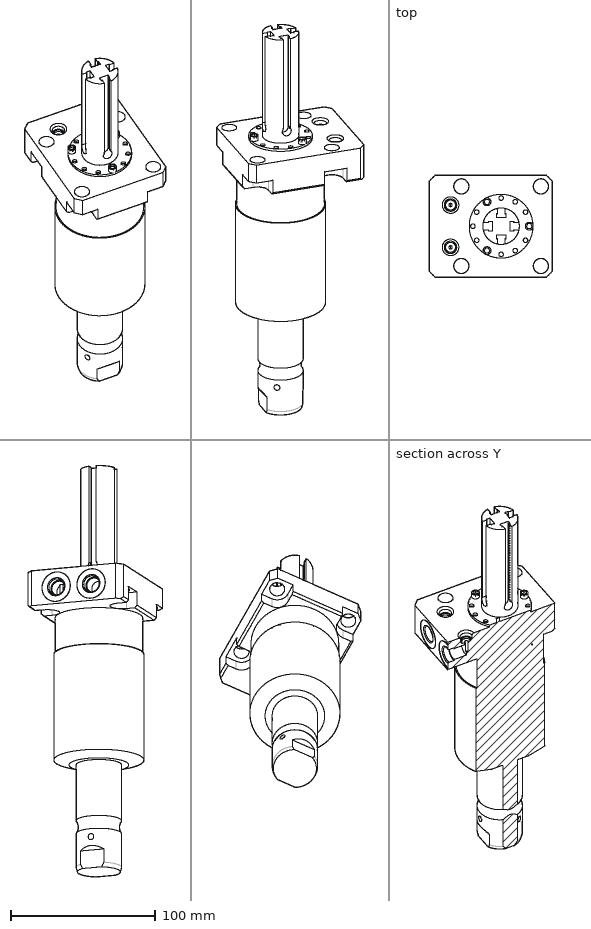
import cadquery as cq
import math


FLANGE_LEFT = -50.0
FLANGE_LENGTH = 85.5
FLANGE_WIDTH = 71.0
FLANGE_THICKNESS = 25.0
FLANGE_CORNER = 4.3
FLANGE_BOTTOM_CHAMFER = 1.7
FLANGE_RIGHT = FLANGE_LEFT + FLANGE_LENGTH

MOUNT_OFFSET = 27.5
MOUNT_DIAMETER = 10.3
RECESS_RADIUS = 8.3
RECESS_TOP = -13.8

PORT_Y = 13.0
PORT_Z = -13.0
PORT_SPOTFACE_DIAMETER = 21.0
PORT_SPOTFACE_DEPTH = 0.3
PORT_MOUTH_RADIUS = 6.45
PORT_STEP_RADIUS = 5.7
PORT_STEP_DEPTH = 5.2
PORT_BORE_RADIUS = 5.02
PILOT_X = -35.0
PILOT_Y = 14.5
PILOT_MOUTH_RADIUS = 5.7
PILOT_STEP_RADIUS = 4.3
PILOT_STEP_DEPTH = 4.3
PILOT_BORE_RADIUS = 3.5
PILOT_BORE_DEPTH = 5.7
PILOT_HOLE_DIAMETER = 2.3
PILOT_HOLE_DEPTH = 15.2

COVER_RADIUS = 22.0
COVER_HEIGHT = 1.7
COVER_HOLE_COUNT = 12
COVER_HOLE_CIRCLE = 19.5
COVER_HOLE_DIAMETER = 3.2
SCREW_COUNT = 3
SCREW_HEAD_DIAMETER = 5.5
SCREW_HEAD_HEIGHT = 3.5
SOCKET_ACROSS_FLATS = 3.5
SOCKET_DEPTH = 1.7

SHAFT_RADIUS = 12.5
SHAFT_TOP = 81.0
SLOT_COUNT = 4
SLOT_MOUTH_WIDTH = 5.2
SLOT_UNDERCUT_WIDTH = 6.5
SLOT_FLOOR = 6.0
SLOT_LIP = 8.5
SLOT_END_Z = 10.3

NECK_RADIUS = 30.5
BODY_RADIUS = 31.3
BODY_TOP = -50.8
BODY_BOTTOM = -126.3
BODY_CONE_RADIUS = 20.7
BODY_CONE_HEIGHT = 3.5
ROD_RADIUS = 15.8
GROOVE_TOP = -169.7
GROOVE_BOTTOM = -179.0
GROOVE_DEPTH = 1.5
OVERALL_HEIGHT = 287.0
ROD_END = SHAFT_TOP - OVERALL_HEIGHT
ROD_CHAMFER_RADIAL = 1.0
ROD_CHAMFER_HEIGHT = 3.2
FLAT_DISTANCE = 13.2
FLAT_TOP = -193.5
DIMPLE_COUNT = 3
DIMPLE_RADIUS = 2.15
DIMPLE_Z = -184.5


def cylinder(radius, bottom, height):
    return cq.Workplane("XY").workplane(offset=bottom).circle(radius).extrude(height)


def box(x_range, y_range, z_range):
    """Box spanning the given (low, high) range along each axis."""
    ranges = (x_range, y_range, z_range)
    sizes = [high - low for low, high in ranges]
    corner = tuple(low for low, high in ranges)
    return cq.Workplane("XY").box(*sizes, centered=False).translate(corner)


def cone(base_radius, tip_radius, base, direction):
    """Cone or frustum with 45 degree sides, narrowing from base along direction."""
    height = base_radius - tip_radius
    solid = cq.Solid.makeCone(base_radius, tip_radius, height, cq.Vector(*base), cq.Vector(*direction))
    return cq.Workplane(obj=solid)


def make_flange():
    z_range = (-FLANGE_THICKNESS, 0)
    half_width = FLANGE_WIDTH / 2
    flange = box((FLANGE_LEFT, FLANGE_RIGHT), (-half_width, half_width), z_range)
    flange = flange.faces("<Z").edges(">X or >Y or <Y").chamfer(FLANGE_BOTTOM_CHAMFER)
    outline = box((FLANGE_LEFT, FLANGE_RIGHT), (-half_width, half_width), z_range)
    return flange.intersect(outline.edges("|Z").chamfer(FLANGE_CORNER))


def make_recess(x, side):
    """Screw-head recess open to one long side, and past the right-hand holes to the end face."""
    height = RECESS_TOP + FLANGE_THICKNESS
    y = side * MOUNT_OFFSET
    z_range = (-FLANGE_THICKNESS, RECESS_TOP)
    recess = cylinder(RECESS_RADIUS, -FLANGE_THICKNESS, height).translate((x, y, 0))
    y_range = sorted((y, side * FLANGE_WIDTH / 2))
    recess = recess.union(box((x - RECESS_RADIUS, x + RECESS_RADIUS), y_range, z_range))
    if x > 0:
        y_range = sorted((y - side * RECESS_RADIUS, side * FLANGE_WIDTH / 2))
        recess = recess.union(box((x, FLANGE_RIGHT), y_range, z_range))
    return recess


def make_air_port(side):
    """Countersunk, stepped port bored in from the left face until it meets the pilot hole."""
    y = side * PORT_Y
    left_face = cq.Workplane("YZ", origin=(FLANGE_LEFT, y, PORT_Z))
    spotface = left_face.circle(PORT_SPOTFACE_DIAMETER / 2).extrude(PORT_SPOTFACE_DEPTH)
    step = left_face.circle(PORT_STEP_RADIUS).extrude(PORT_STEP_DEPTH)
    bore = left_face.circle(PORT_BORE_RADIUS).extrude(PILOT_X - FLANGE_LEFT)
    mouth_base = (FLANGE_LEFT + PORT_SPOTFACE_DEPTH, y, PORT_Z)
    mouth = cone(PORT_MOUTH_RADIUS, PORT_STEP_RADIUS, mouth_base, (1, 0, 0))
    return spotface.union(step).union(bore).union(mouth)


def make_pilot_port(side):
    """Countersunk, stepped port in the top face with a narrow hole down into the air port."""
    y = side * PILOT_Y
    mouth = cone(PILOT_MOUTH_RADIUS, PILOT_STEP_RADIUS, (PILOT_X, y, 0), (0, 0, -1))
    step = cylinder(PILOT_STEP_RADIUS, -PILOT_STEP_DEPTH, PILOT_STEP_DEPTH)
    bore = cylinder(PILOT_BORE_RADIUS, -PILOT_BORE_DEPTH, PILOT_BORE_DEPTH)
    hole = cylinder(PILOT_HOLE_DIAMETER / 2, -PILOT_HOLE_DEPTH, PILOT_HOLE_DEPTH)
    return step.union(bore).union(hole).translate((PILOT_X, y, 0)).union(mouth)


def make_cover():
    holes = (
        cq.Workplane("XY")
        .polarArray(COVER_HOLE_CIRCLE, 0, 360, COVER_HOLE_COUNT)
        .circle(COVER_HOLE_DIAMETER / 2)
        .extrude(COVER_HEIGHT)
    )
    heads = (
        cq.Workplane("XY")
        .polarArray(COVER_HOLE_CIRCLE, 0, 360, SCREW_COUNT)
        .circle(SCREW_HEAD_DIAMETER / 2)
        .extrude(COVER_HEIGHT + SCREW_HEAD_HEIGHT)
    )
    sockets = (
        cq.Workplane("XY")
        .workplane(offset=COVER_HEIGHT + SCREW_HEAD_HEIGHT - SOCKET_DEPTH)
        .polarArray(COVER_HOLE_CIRCLE, 0, 360, SCREW_COUNT)
        .polygon(6, SOCKET_ACROSS_FLATS / math.cos(math.pi / 6))
        .extrude(SOCKET_DEPTH)
    )
    return cylinder(COVER_RADIUS, 0, COVER_HEIGHT).cut(holes).union(heads).cut(sockets)


def make_shaft():
    """Shaft with T-shaped slots that run out of its top end and stop in round ends."""
    shaft = cylinder(SHAFT_RADIUS, 0, SHAFT_TOP)
    half_mouth = SLOT_MOUTH_WIDTH / 2
    half_undercut = SLOT_UNDERCUT_WIDTH / 2
    z_range = (SLOT_END_Z, SHAFT_TOP)
    mouth = box((SLOT_FLOOR, SHAFT_RADIUS), (-half_mouth, half_mouth), z_range)
    undercut = box((SLOT_FLOOR, SLOT_LIP), (-half_undercut, half_undercut), z_range)
    round_end = (
        cq.Workplane("YZ", origin=(SLOT_FLOOR, 0, SLOT_END_Z))
        .circle(half_undercut)
        .extrude(SHAFT_RADIUS - SLOT_FLOOR)
    )
    slot = mouth.union(undercut).union(round_end)
    for index in range(SLOT_COUNT):
        shaft = shaft.cut(slot.rotate((0, 0, 0), (0, 0, 1), index * 360 / SLOT_COUNT))
    return shaft


def make_body_and_rod():
    """Turned body and rod below the flange, revolved from a half profile."""
    groove_middle = (GROOVE_TOP + GROOVE_BOTTOM) / 2
    cone_bottom = BODY_BOTTOM - BODY_CONE_HEIGHT
    return (
        cq.Workplane("XZ")
        .moveTo(0, -FLANGE_THICKNESS)
        .lineTo(NECK_RADIUS, -FLANGE_THICKNESS)
        .lineTo(NECK_RADIUS, BODY_TOP)
        .lineTo(BODY_RADIUS, BODY_TOP)
        .lineTo(BODY_RADIUS, BODY_BOTTOM)
        .lineTo(BODY_CONE_RADIUS, cone_bottom)
        .lineTo(ROD_RADIUS, cone_bottom)
        .lineTo(ROD_RADIUS, GROOVE_TOP)
        .threePointArc((ROD_RADIUS - GROOVE_DEPTH, groove_middle), (ROD_RADIUS, GROOVE_BOTTOM))
        .lineTo(ROD_RADIUS, ROD_END + ROD_CHAMFER_HEIGHT)
        .lineTo(ROD_RADIUS - ROD_CHAMFER_RADIAL, ROD_END)
        .lineTo(0, ROD_END)
        .close()
        .revolve(360, (0, 0, 0), (0, 1, 0))
    )


def make_wrench_flat():
    """Cutter for the flat on the +X side of the rod, with a 45 degree run-out."""
    flat_depth = ROD_RADIUS - FLAT_DISTANCE
    return (
        cq.Workplane("XZ")
        .moveTo(FLAT_DISTANCE, ROD_END)
        .lineTo(FLAT_DISTANCE, FLAT_TOP)
        .lineTo(ROD_RADIUS, FLAT_TOP + flat_depth)
        .lineTo(ROD_RADIUS, ROD_END)
        .close()
        .extrude(ROD_RADIUS, both=True)
    )


def make_lower_end():
    lower_end = make_body_and_rod()
    flat = make_wrench_flat()
    lower_end = lower_end.cut(flat).cut(flat.mirror("YZ"))
    dimple = cone(DIMPLE_RADIUS, 0, (-ROD_RADIUS, 0, DIMPLE_Z), (1, 0, 0))
    for index in range(DIMPLE_COUNT):
        lower_end = lower_end.cut(dimple.rotate((0, 0, 0), (0, 0, 1), index * 360 / DIMPLE_COUNT))
    return lower_end


flange = make_flange()
for side in (-1, 1):
    for x in (-MOUNT_OFFSET, MOUNT_OFFSET):
        mount_hole = cylinder(MOUNT_DIAMETER / 2, -FLANGE_THICKNESS, FLANGE_THICKNESS)
        flange = flange.cut(mount_hole.translate((x, side * MOUNT_OFFSET, 0)))
        flange = flange.cut(make_recess(x, side))
    flange = flange.cut(make_air_port(side)).cut(make_pilot_port(side))

result = flange.union(make_lower_end()).union(make_cover()).union(make_shaft())